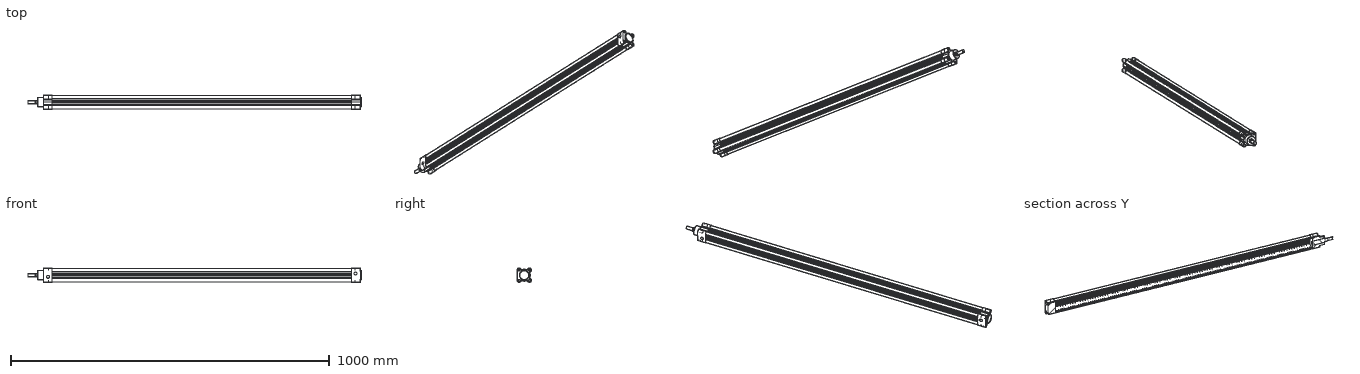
import cadquery as cq


bore = 32.0
stroke = 900.0
section = 45.0
length_beyond_stroke = 94.0
body_length = stroke + length_beyond_stroke
screw_spacing = 32.5
screw_offset = screw_spacing / 2

rod_diameter = 12.0
thread_diameter = 10.0
thread_length = 22.0
rod_projection = 26.0
rod_chamfer = 0.5
flats_width = 10.0
flats_length = 4.3
flats_setback = 2.0

ridge_height = 19.5
ridge_shoulder = 17.4
ridge_half_width = 7.0
side_height = 16.6

cap_length = 27.0
collar_diameter = 30.0
front_collar_length = 18.0
rear_collar_length = 4.0
collar_chamfer = 1.0
cap_lobe_radius = section / 2 - screw_offset
port_diameter = 9.0
port_inset = 15.0
port_offset = 5.3
port_depth = 9.0
screw_diameter = 6.0
screw_depth = 16.0
wiper_diameter = 13.5
wiper_depth = 2.0

tube_lobe_radius = cap_lobe_radius - 1.0
slot_width = 3.2
slot_centre = 4.9
slot_floor = 16.4

front_face = 0.0
rear_face = front_face + body_length
tube_start = front_face + cap_length
tube_end = rear_face - cap_length
tube_length = tube_end - tube_start
collar_front = front_face - front_collar_length
rod_shoulder = front_face - rod_projection
rod_tip = rod_shoulder - thread_length


def section_plane(x):
    return cq.Workplane("YZ", origin=(x, 0, 0))


def cylinder(x, length, diameter):
    return section_plane(x).circle(diameter / 2).extrude(length)


def corner_cylinders(x, length, diameter):
    corners = section_plane(x).rarray(screw_spacing, screw_spacing, 2, 2)
    return corners.circle(diameter / 2).extrude(length)


def turned(shape, side):
    """The shape turned about the rod axis by a number of quarter turns."""
    return shape.rotate((0, 0, 0), (1, 0, 0), 90 * side)


def lobed_bar(x, length, lobe_radius):
    """Square bar with a low ridge along the middle of each side and a round lobe at each corner."""
    bar = section_plane(x).rect(2 * side_height, 2 * side_height).extrude(length)
    ridge_outline = [
        (-ridge_half_width, 0),
        (-ridge_half_width, ridge_shoulder),
        (0, ridge_height),
        (ridge_half_width, ridge_shoulder),
        (ridge_half_width, 0),
    ]
    ridge = section_plane(x).polyline(ridge_outline).close().extrude(length)
    for side in range(4):
        bar = bar.union(turned(ridge, side))
    return bar.union(corner_cylinders(x, length, 2 * lobe_radius))


def make_cap(x, port_x, port_z, screw_hole_start):
    """Lobed cap block with a flat -Y port face, one port and four blind screw holes."""
    cap = lobed_bar(x, cap_length, cap_lobe_radius)
    pad_depth = section / 2 - screw_offset
    pad_middle = -(section / 2 + screw_offset) / 2
    pad = section_plane(x).center(pad_middle, 0).rect(pad_depth, screw_spacing).extrude(cap_length)
    port_plane = cq.Workplane("XZ", origin=(port_x, -section / 2, port_z))
    port = port_plane.circle(port_diameter / 2).extrude(-port_depth)
    screw_holes = corner_cylinders(screw_hole_start, screw_depth, screw_diameter)
    return cap.union(pad).cut(port).cut(screw_holes)


def make_front_cap():
    cap = make_cap(front_face, front_face + port_inset, -port_offset, front_face)
    collar = cylinder(collar_front, front_collar_length, collar_diameter)
    cap = cap.union(collar.faces("<X").chamfer(collar_chamfer))
    cap = cap.cut(cylinder(collar_front, tube_start - collar_front, rod_diameter))
    return cap.cut(cylinder(collar_front, wiper_depth, wiper_diameter))


def make_rear_cap():
    cap = make_cap(tube_end, rear_face - port_inset, port_offset, rear_face - screw_depth)
    collar = cylinder(rear_face, rear_collar_length, collar_diameter)
    return cap.union(collar.faces(">X").chamfer(collar_chamfer))


def make_tube():
    """Lobed tube with two grooves cut along each of the four ridges."""
    tube = lobed_bar(tube_start, tube_length, tube_lobe_radius)
    slot_depth = ridge_height - slot_floor
    slot_middle = slot_floor + slot_depth / 2
    slots = (
        section_plane(tube_start)
        .pushPoints([(-slot_centre, slot_middle), (slot_centre, slot_middle)])
        .rect(slot_width, slot_depth)
        .extrude(tube_length)
    )
    for side in range(4):
        tube = tube.cut(turned(slots, side))
    return tube.cut(cylinder(tube_start, tube_length, bore))


def make_rod():
    """Rod with a reduced thread end and four wrench flats ahead of the collar."""
    thread = cylinder(rod_tip, thread_length, thread_diameter).faces("<X").chamfer(rod_chamfer)
    shank = cylinder(rod_shoulder, tube_start - rod_shoulder, rod_diameter).faces("<X").chamfer(rod_chamfer)
    flats_start = section_plane(rod_shoulder + flats_setback)
    flats_band = flats_start.rect(rod_diameter, rod_diameter).extrude(flats_length)
    flats_core = flats_start.rect(flats_width, flats_width).extrude(flats_length)
    return thread.union(shank.cut(flats_band.cut(flats_core)))


front_cap = make_front_cap()
tube = make_tube()
rear_cap = make_rear_cap()
rod = make_rod()

result = cq.Compound.makeCompound([front_cap.val(), tube.val(), rear_cap.val(), rod.val()])